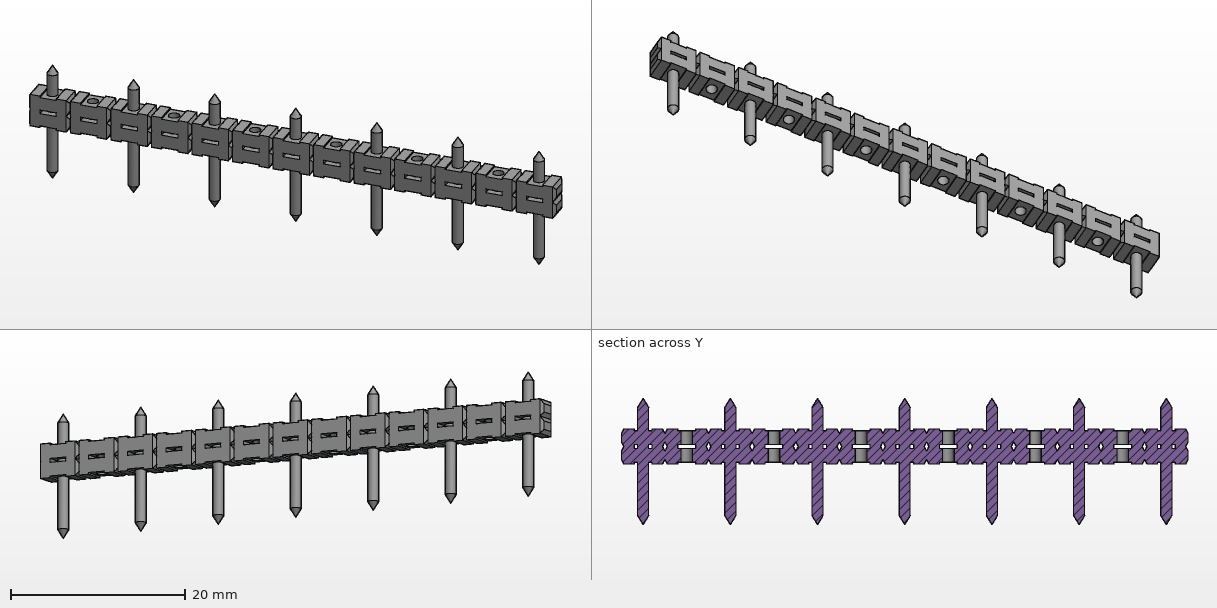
import cadquery as cq

strip_length = 65.0
module_count = 13
pin_every = 2

housing_depth = 2.8
housing_height = 4.0
nub_length = 0.25
nub_inset = 0.5

recess_width = 2.0
recess_depth = 0.2
slot_height = 0.45
bore_diameter = 1.3

pin_above = 3.5
pin_below = 6.95
pin_tip_height = 1.05

module_pitch = strip_length / module_count
block_length = module_pitch - 2 * nub_length
nub_height = housing_height / 2
pin_radius = bore_diameter / 2
pin_top = housing_height / 2 + pin_above
pin_bottom = -housing_height / 2 - pin_below


def make_nub(side, center_z):
    """Tapered nub on one end of a block; side is +1 for the +X end and -1 for the -X end."""
    base_plane = cq.Plane(
        origin=(side * block_length / 2, 0, center_z),
        xDir=(0, 1, 0),
        normal=(side, 0, 0),
    )
    return (
        cq.Workplane(base_plane)
        .rect(housing_depth, nub_height)
        .workplane(offset=nub_length)
        .rect(housing_depth - 2 * nub_inset, nub_height - 2 * nub_inset)
        .loft(ruled=True)
    )


def make_module():
    """One housing block with two nubs per end, a recess above and below, a slot and a bore."""
    module = cq.Workplane("XY").box(block_length, housing_depth, housing_height)
    for side in (-1, 1):
        for center_z in (-nub_height / 2, nub_height / 2):
            module = module.union(make_nub(side, center_z))

    recess = cq.Workplane("XY").box(recess_width, housing_depth, 2 * recess_depth)
    for face_z in (-housing_height / 2, housing_height / 2):
        module = module.cut(recess.translate((0, 0, face_z)))

    slot = cq.Workplane("XY").box(recess_width, housing_depth, slot_height)
    bore = cq.Workplane("XY").circle(bore_diameter / 2).extrude(housing_height, both=True)
    return module.cut(slot).cut(bore)


def make_pin():
    """Round pin with a conical point at each end, revolved about Z."""
    return (
        cq.Workplane("XZ")
        .moveTo(0, pin_bottom)
        .lineTo(pin_radius, pin_bottom + pin_tip_height)
        .lineTo(pin_radius, pin_top - pin_tip_height)
        .lineTo(0, pin_top)
        .close()
        .revolve(360, (0, 0, 0), (0, 1, 0))
    )


open_module = make_module()
pinned_module = open_module.union(make_pin())

result = cq.Workplane("XY")
for index in range(module_count):
    module = pinned_module if index % pin_every == 0 else open_module
    center_x = (index - (module_count - 1) / 2) * module_pitch
    result = result.union(module.translate((center_x, 0, 0)))